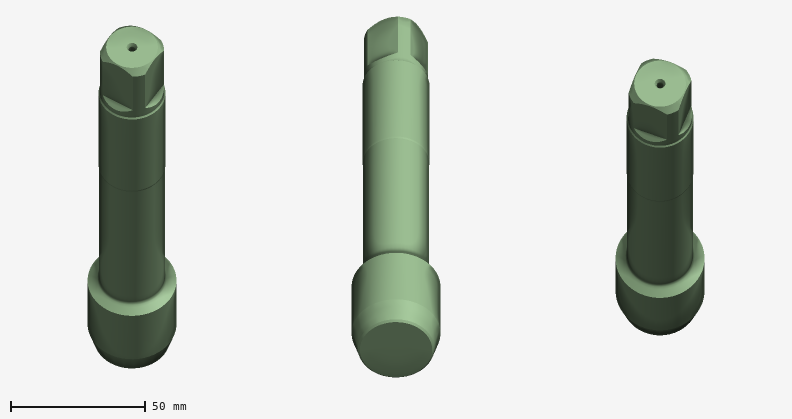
import cadquery as cq
import math

total_length = 180.0

head_diameter = 33.22
head_tip_diameter = 28.5
tip_edge_chamfer = 0.75
lead_taper_top = 9.5
head_length = 36.25

shoulder_angle = 30.0
neck_diameter = 24.7
neck_fillet_radius = 1.3
shank_diameter = 25.0
collar_diameter = 24.0
shank_bottom = 108.0
shank_bottom_chamfer_height = 0.8
shank_top = 152.5
shank_top_chamfer_height = 0.6

square_width = 20.0
square_bottom = 157.0
square_end_diameter = 19.3
square_end_chamfer_height = 2.4

centre_hole_diameter = 2.5
centre_hole_depth = 6.0
countersink_diameter = 4.0
countersink_angle = 60.0
drill_point_angle = 120.0


def revolve_profile(points):
    """Turn an (r, z) half outline about the Z axis."""
    return cq.Workplane("XZ").polyline(points).close().revolve(360, (0, 0, 0), (0, 1, 0))


def make_head():
    """Threaded head with a tapered lead and a flat upper face."""
    return revolve_profile([
        (0, 0),
        (head_tip_diameter / 2 - tip_edge_chamfer, 0),
        (head_tip_diameter / 2, tip_edge_chamfer),
        (head_diameter / 2, lead_taper_top),
        (head_diameter / 2, head_length),
        (0, head_length),
    ])


def turned_shank():
    """Shank blank before the drive flats are cut, with a fillet where the shoulder meets the neck."""
    shoulder_slope = math.radians(shoulder_angle)
    neck_radius = neck_diameter / 2
    neck_start = head_length + (head_diameter / 2 - neck_radius) * math.tan(shoulder_slope)

    turn_angle = math.pi / 2 - shoulder_slope
    tangent_length = neck_fillet_radius * math.tan(turn_angle / 2)
    fillet_start = (
        neck_radius + tangent_length * math.cos(shoulder_slope),
        neck_start - tangent_length * math.sin(shoulder_slope),
    )
    fillet_end = (neck_radius, neck_start + tangent_length)
    fillet_middle = (
        neck_radius + neck_fillet_radius * (1 - math.cos(turn_angle / 2)),
        fillet_end[1] - neck_fillet_radius * math.sin(turn_angle / 2),
    )

    outline = (
        cq.Workplane("XZ")
        .moveTo(0, head_length)
        .lineTo(head_diameter / 2, head_length)
        .lineTo(*fillet_start)
        .threePointArc(fillet_middle, fillet_end)
        .lineTo(neck_radius, shank_bottom - shank_bottom_chamfer_height)
        .lineTo(shank_diameter / 2, shank_bottom)
        .lineTo(shank_diameter / 2, shank_top - shank_top_chamfer_height)
        .lineTo(collar_diameter / 2, shank_top)
        .lineTo(collar_diameter / 2, total_length - square_end_chamfer_height)
        .lineTo(square_end_diameter / 2, total_length)
        .lineTo(0, total_length)
        .close()
    )
    return outline.revolve(360, (0, 0, 0), (0, 1, 0))


def drive_envelope():
    """Square shaft whose flats run out at 45 degrees into the collar."""
    run_out = (shank_diameter - square_width) / 2
    run_out_bottom = square_bottom - run_out
    clear_width = 2 * head_diameter
    shaft = (
        cq.Workplane("XY")
        .workplane(offset=square_bottom)
        .rect(square_width, square_width)
        .extrude(total_length - square_bottom)
    )
    run_out_block = (
        cq.Workplane("XY")
        .workplane(offset=run_out_bottom)
        .rect(shank_diameter, shank_diameter)
        .workplane(offset=run_out)
        .rect(square_width, square_width)
        .loft(ruled=True)
    )
    lower_block = (
        cq.Workplane("XY")
        .rect(clear_width, clear_width)
        .extrude(run_out_bottom)
    )
    return lower_block.union(run_out_block).union(shaft)


def centre_hole():
    """Countersunk centre hole with a conical bottom."""
    hole_radius = centre_hole_diameter / 2
    sink_radius = countersink_diameter / 2
    sink_depth = (sink_radius - hole_radius) / math.tan(math.radians(countersink_angle / 2))
    point_depth = hole_radius / math.tan(math.radians(drill_point_angle / 2))
    hole_bottom = total_length - centre_hole_depth
    return revolve_profile([
        (0, total_length),
        (sink_radius, total_length),
        (hole_radius, total_length - sink_depth),
        (hole_radius, hole_bottom),
        (0, hole_bottom - point_depth),
    ])


def make_shank():
    """Turned shank with a drive square and a centre hole."""
    return turned_shank().intersect(drive_envelope()).cut(centre_hole()).solids()


head = make_head()
shank = make_shank()

result = cq.Compound.makeCompound([head.val(), shank.val()])